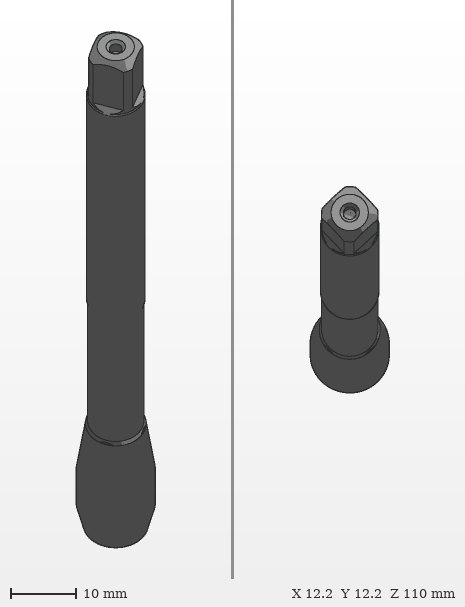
import cadquery as cq
import math

total_length = 110
thread_length = 23.1
head_cone_start = 12.3
lead_length = 4.8
neck_top = 51.3
shank_shoulder = 99.0
neck_blend = 0.7

head_diameter = 12.2
lead_diameter = 10.1
head_top_diameter = 9.4
shank_diameter = 9.0
neck_diameter = 8.7
drive_diameter = 8.7
drive_tip_diameter = 5.7

drive_width = 7.2
shoulder_step_height = 0.2
flare_height = 1.0
drive_tip_angle = 40
drive_tip_chamfer = (drive_diameter - drive_tip_diameter) / 2 * math.tan(math.radians(drive_tip_angle))
center_mouth_diameter = 3.0
center_hole_diameter = 2.0
center_hole_depth = 2.2
center_sink_half_angle = 45
drill_point_half_angle = 60
center_sink_depth = (
    (center_mouth_diameter - center_hole_diameter) / 2
    / math.tan(math.radians(center_sink_half_angle))
)


def revolved(profile):
    """Revolve (radius, height) points about the Z axis."""
    return cq.Workplane("XZ").polyline(profile).close().revolve(360, (0, 0), (0, 1))


def make_head():
    """Thread head: lead taper, full-diameter band and long back taper."""
    return revolved([
        (0, 0),
        (lead_diameter / 2, 0),
        (head_diameter / 2, lead_length),
        (head_diameter / 2, head_cone_start),
        (head_top_diameter / 2, thread_length),
        (0, thread_length),
    ])


def make_drive_envelope():
    """Square prism with a shoulder that flares out to the shank diameter."""
    prism_height = total_length - shank_shoulder
    prism = (
        cq.Workplane("XY", origin=(0, 0, shank_shoulder))
        .rect(drive_width, drive_width)
        .extrude(prism_height)
    )
    flare = (
        cq.Workplane("XY", origin=(0, 0, shank_shoulder))
        .rect(shank_diameter, shank_diameter)
        .workplane(offset=flare_height)
        .rect(drive_width, drive_width)
        .loft(ruled=True)
    )
    below = cq.Workplane("XY").rect(shank_diameter, shank_diameter).extrude(shank_shoulder)
    return below.union(flare).union(prism)


def make_center_hole():
    """Countersunk blind hole with a pointed bottom."""
    hole_radius = center_hole_diameter / 2
    point_depth = hole_radius / math.tan(math.radians(drill_point_half_angle))
    return revolved([
        (0, total_length),
        (center_mouth_diameter / 2, total_length),
        (hole_radius, total_length - center_sink_depth),
        (hole_radius, total_length - center_hole_depth),
        (0, total_length - center_hole_depth - point_depth),
    ])


def make_shank():
    """Shank with a slim neck, a square drive end and a centre hole."""
    shank_radius = shank_diameter / 2
    neck_radius = neck_diameter / 2
    drive_radius = drive_diameter / 2
    blank = revolved([
        (0, thread_length),
        (head_top_diameter / 2, thread_length),
        (neck_radius, thread_length + neck_blend),
        (neck_radius, neck_top),
        (shank_radius, neck_top + neck_blend),
        (shank_radius, shank_shoulder),
        (drive_radius, shank_shoulder + shoulder_step_height),
        (drive_radius, total_length - drive_tip_chamfer),
        (drive_tip_diameter / 2, total_length),
        (0, total_length),
    ])
    return blank.intersect(make_drive_envelope()).cut(make_center_hole())


head = make_head()
shank = make_shank()
result = cq.Compound.makeCompound([head.val(), shank.val()])